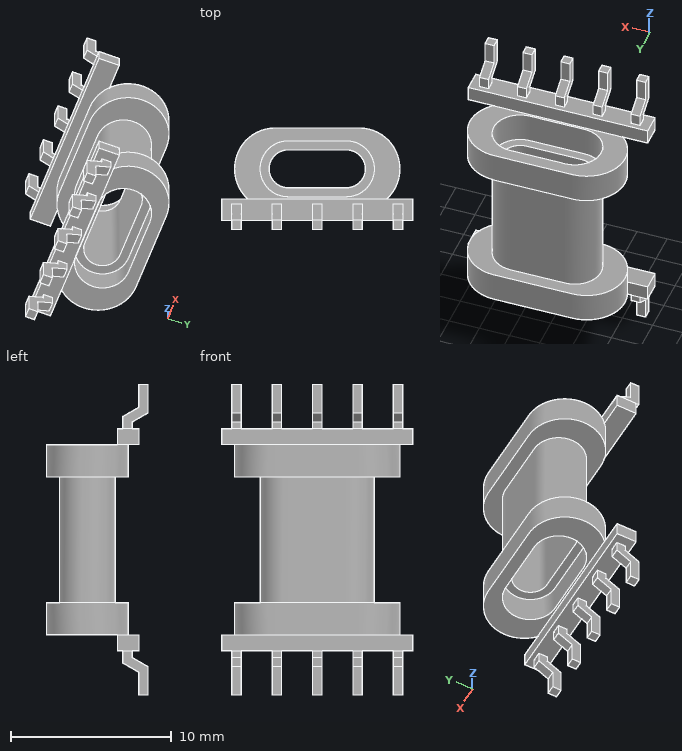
import cadquery as cq
import math


total_height = 19.3
flange_thickness = 2.0
bar_height = 1.0
tube_length = 7.8
flange_inner_z = tube_length / 2
bar_inner_z = flange_inner_z + flange_thickness
bar_outer_z = bar_inner_z + bar_height
pin_tip_z = total_height / 2

tube_straight = 3.63
tube_depth = 3.47
bore_depth = 2.34
flange_straight = 5.2
flange_depth = 5.1

bar_length = 11.89
bar_depth = 1.35
bar_center_y = -flange_depth / 2

pin_count = 5
pin_pitch = 2.5
pin_size = 0.6
pin_tip_front_y = -3.78
crank_offset = 0.98
crank_angle = math.radians(30)
crank_start = 0.4


def stadium(straight, depth, height, base_z):
    """Upright block with straight front and back and half-round ends."""
    return (
        cq.Workplane("XY", origin=(0, 0, base_z))
        .slot2D(straight + depth, depth)
        .extrude(height)
    )


def make_tube():
    """Winding tube that butts against the inner faces of both flanges."""
    outside = stadium(tube_straight, tube_depth, tube_length, -flange_inner_z)
    bore = stadium(tube_straight, bore_depth, tube_length, -flange_inner_z)
    return outside.cut(bore)


def make_flange():
    """Flange ring whose opening matches the outside of the tube."""
    ring = stadium(flange_straight, flange_depth, flange_thickness, flange_inner_z)
    opening = stadium(tube_straight, tube_depth, flange_thickness, flange_inner_z)
    return ring.cut(opening)


def make_bar():
    """Terminal bar lying on the outer face of the flange."""
    return (
        cq.Workplane("XY", origin=(0, bar_center_y, bar_inner_z))
        .rect(bar_length, bar_depth)
        .extrude(bar_height)
    )


def make_pin(center_x):
    """Pin that rises from the bar, cranks forward and ends upright."""
    tip_front = pin_tip_front_y
    tip_back = tip_front + pin_size
    root_front = tip_front + crank_offset
    root_back = root_front + pin_size

    miter_rise = pin_size * math.tan(crank_angle)
    crank_rise = crank_offset * math.tan(crank_angle)
    root_front_z = bar_outer_z + crank_start
    root_back_z = root_front_z + miter_rise
    profile = [
        (root_front, bar_outer_z),
        (root_front, root_front_z),
        (tip_front, root_front_z + crank_rise),
        (tip_front, pin_tip_z),
        (tip_back, pin_tip_z),
        (tip_back, root_back_z + crank_rise),
        (root_back, root_back_z),
        (root_back, bar_outer_z),
    ]
    return (
        cq.Workplane("YZ", origin=(center_x, 0, 0))
        .polyline(profile)
        .close()
        .extrude(pin_size / 2, both=True)
    )


def make_end_piece():
    """Upper end piece: flange, terminal bar and pins as one solid."""
    end_piece = make_flange().union(make_bar())
    for index in range(pin_count):
        center_x = (index - (pin_count - 1) / 2) * pin_pitch
        end_piece = end_piece.union(make_pin(center_x))
    return end_piece


tube = make_tube()
upper_end_piece = make_end_piece()
end_pieces = [upper_end_piece, upper_end_piece.mirror("XY")]

bodies = tube.solids().vals()
for end_piece in end_pieces:
    bodies += end_piece.solids().vals()

result = cq.Compound.makeCompound(bodies)